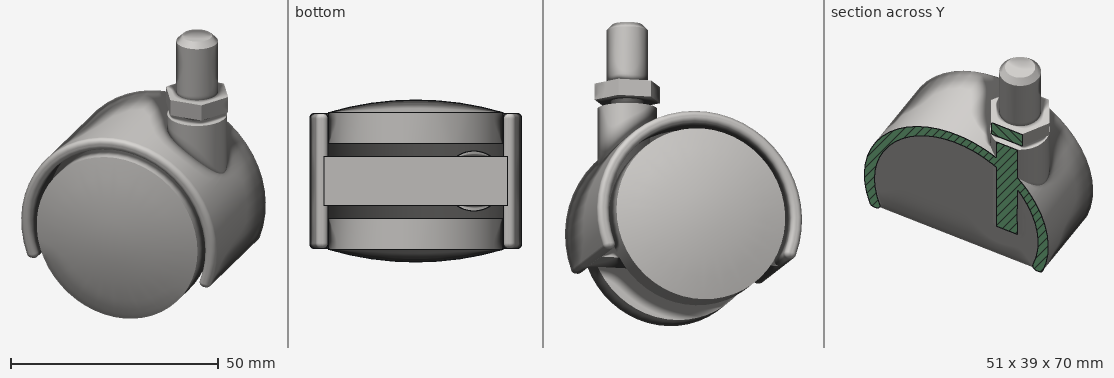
import cadquery as cq
import math


WHEEL_RADIUS = 21.0
WHEEL_INNER_Y = 9.0
WHEEL_RIM_Y = 16.45
WIDTH_OVER_CROWNS = 39.0
WHEEL_CROWN_Y = WIDTH_OVER_CROWNS / 2

HOOD_DIAMETER = 51.0
HOOD_RADIUS = HOOD_DIAMETER / 2
HOOD_WALL = 2.95
HOOD_HALF_WIDTH = 16.3
HOOD_BOTTOM_Z = -9.6
RIM_FILLET = 1.25
WEB_HALF_THICKNESS = 5.95
BOSS_RADIUS = 7.2
BOSS_TOP_Z = 28.35

STEM_X = 14.0
STEM_TOP_Z = 49.0
STEM_RADIUS = 5.05
STEM_CHAMFER = 1.4
NECK_RADIUS = 4.0
HEX_BOTTOM_Z = 30.2
HEX_TOP_Z = 34.15
HEX_ACROSS_CORNERS = 16.25


def cylinder_along_y(radius, half_width):
    """Cylinder on the wheel axis, centred on Y = 0."""
    return cq.Workplane("XZ").circle(radius).extrude(half_width, both=True)


def above_underside(body):
    """Trim a body with the flat underside of the housing."""
    block = cq.Workplane("XY", origin=(0, 0, HOOD_BOTTOM_Z)).box(
        HOOD_DIAMETER,
        2 * HOOD_HALF_WIDTH,
        HOOD_RADIUS - HOOD_BOTTOM_Z,
        centered=(True, True, False),
    )
    return body.intersect(block)


def make_hood():
    """Arched shell, open at both ends, with every edge rounded."""
    shell = cylinder_along_y(HOOD_RADIUS, HOOD_HALF_WIDTH).cut(
        cylinder_along_y(HOOD_RADIUS - HOOD_WALL, HOOD_HALF_WIDTH)
    )
    return above_underside(shell).edges().fillet(RIM_FILLET)


def make_housing():
    """Hood with a solid web between the wheels and an upright boss under the stem."""
    wall_middle_radius = HOOD_RADIUS - HOOD_WALL / 2
    web = above_underside(cylinder_along_y(wall_middle_radius, WEB_HALF_THICKNESS))
    boss = (
        cq.Workplane("XY", origin=(STEM_X, 0, 0))
        .circle(BOSS_RADIUS)
        .extrude(BOSS_TOP_Z)
    )
    return make_hood().union(web).union(boss)


def make_wheel(side):
    """Wheel with a domed outer face; side is -1 for the -Y wheel, +1 for the +Y wheel."""
    rise = WHEEL_CROWN_Y - WHEEL_RIM_Y
    dome_radius = (WHEEL_RADIUS**2 + rise**2) / (2 * rise)
    mid_x = WHEEL_RADIUS / 2
    mid_y = WHEEL_CROWN_Y - dome_radius + math.sqrt(dome_radius**2 - mid_x**2)
    return (
        cq.Workplane("XY")
        .moveTo(0, side * WHEEL_INNER_Y)
        .lineTo(WHEEL_RADIUS, side * WHEEL_INNER_Y)
        .lineTo(WHEEL_RADIUS, side * WHEEL_RIM_Y)
        .threePointArc((mid_x, side * mid_y), (0, side * WHEEL_CROWN_Y))
        .close()
        .revolve(360, (0, 0, 0), (0, 1, 0))
    )


def make_stem():
    """Stem standing on the boss: neck, hexagonal collar and chamfered shank."""
    neck = (
        cq.Workplane("XY", origin=(STEM_X, 0, BOSS_TOP_Z))
        .circle(NECK_RADIUS)
        .extrude(HEX_BOTTOM_Z - BOSS_TOP_Z)
    )
    hex_collar = (
        cq.Workplane("XY", origin=(STEM_X, 0, HEX_BOTTOM_Z))
        .polygon(6, HEX_ACROSS_CORNERS)
        .extrude(HEX_TOP_Z - HEX_BOTTOM_Z)
    )
    shank = (
        cq.Workplane("XY", origin=(STEM_X, 0, HEX_TOP_Z))
        .circle(STEM_RADIUS)
        .extrude(STEM_TOP_Z - HEX_TOP_Z)
        .faces(">Z")
        .chamfer(STEM_CHAMFER)
    )
    return neck.union(hex_collar).union(shank)


housing = make_housing()
wheels = [make_wheel(side) for side in (-1, 1)]
stem = make_stem()

result = cq.Compound.makeCompound(
    [housing.solids().val(), *[wheel.val() for wheel in wheels], stem.solids().val()]
)